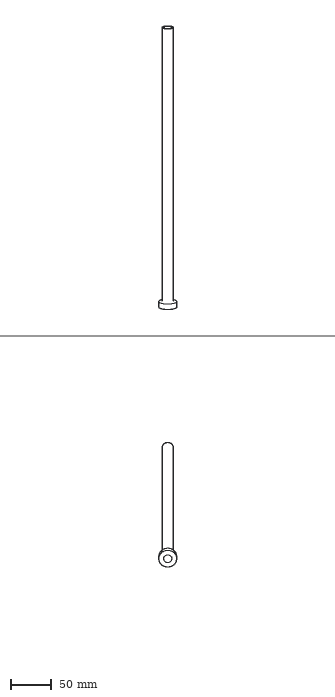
import cadquery as cq

total_length = 357.0
head_diameter = 22.0
head_height = 7.0
tube_diameter = 14.0
bore_diameter = 10.0
neck_fillet_radius = 0.7


def revolved_body():
    """Solid head and tube, with a concave fillet where the tube meets the head."""
    head_radius = head_diameter / 2
    tube_radius = tube_diameter / 2
    fillet_centre_x = tube_radius + neck_fillet_radius
    fillet_centre_z = head_height + neck_fillet_radius
    arc_offset = neck_fillet_radius / 2**0.5

    profile = (
        cq.Workplane("XZ")
        .lineTo(head_radius, 0)
        .lineTo(head_radius, head_height)
        .lineTo(fillet_centre_x, head_height)
        .threePointArc(
            (fillet_centre_x - arc_offset, fillet_centre_z - arc_offset),
            (tube_radius, fillet_centre_z),
        )
        .lineTo(tube_radius, total_length)
        .lineTo(0, total_length)
        .close()
    )
    return profile.revolve(360, (0, 0, 0), (0, 1, 0))


def through_bore():
    """Cylinder that opens the part along its whole axis."""
    return cq.Workplane("XY").circle(bore_diameter / 2).extrude(total_length)


result = revolved_body().cut(through_bore())